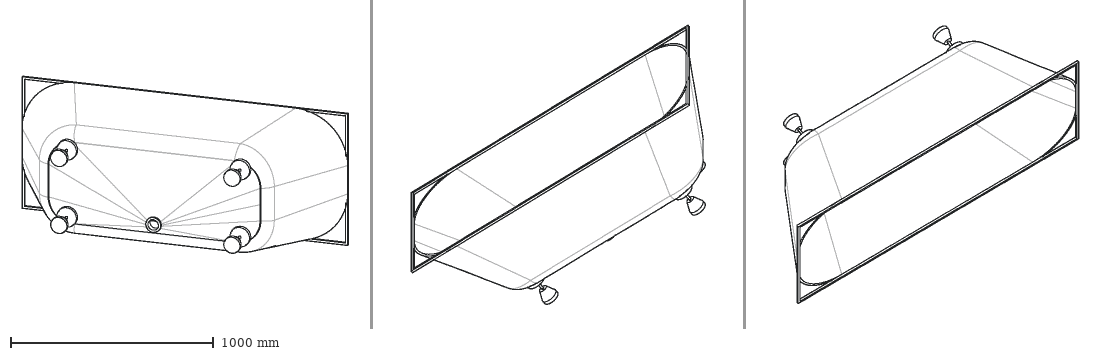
import cadquery as cq

LENGTH = 1693.0
WIDTH = 690.0
TOTAL_DEPTH = 630.0

FRAME_THICKNESS = 12.0
FRAME_BAR = 12.0

WALL = 12.0
FLOOR_DEPTH = 485.0
RIM_CORNER = 270.0
FLOOR_LENGTH = 1181.0
FLOOR_WIDTH = 552.0
FLOOR_CORNER = 186.0
FLOOR_FILLET = 71.0

FALL_LENGTH = 1107.0
FALL_WIDTH = 427.0
FALL_CORNER = 127.0
FALL_DEPTH = 10.0

DRAIN_Z = -165.0
DRAIN_RADIUS = 39.0
DRAIN_HOLE_RADIUS = 27.0
BOSS_DEPTH = 506.0

FOOT_X = 450.0
FOOT_Z = 176.0
PAD_RADIUS = 50.0
STEM_RADIUS = 6.0
FOOT_NECK_RADIUS = 21.2
FOOT_RADIUS = 42.0
FOOT_NECK_DEPTH = 560.0
FOOT_DISC_DEPTH = 611.0


def plane_at(depth):
    """Plane across the bath at a depth below the rim, facing -Y."""
    return cq.Plane(origin=(0, -depth, 0), xDir=(1, 0, 0), normal=(0, -1, 0))


def rounded_loft(depth_1, size_1, depth_2, size_2):
    """Solid between two rounded rectangles, each given as (length, width, corner)."""
    sketches = []
    for length, width, corner in (size_1, size_2):
        sketches.append(cq.Sketch().rect(length, width).vertices().fillet(corner))
    distance = depth_2 - depth_1
    far_sketch = sketches[1].moved(cq.Location(cq.Vector(0, 0, distance)))
    return cq.Workplane(plane_at(depth_1)).placeSketch(sketches[0], far_sketch).loft(ruled=True)


def cylinder(x, z, radius, start_depth, end_depth):
    return (
        cq.Workplane(plane_at(start_depth))
        .center(x, z)
        .circle(radius)
        .extrude(end_depth - start_depth)
    )


def make_frame():
    return (
        cq.Workplane(plane_at(0))
        .rect(LENGTH, WIDTH)
        .rect(LENGTH - 2 * FRAME_BAR, WIDTH - 2 * FRAME_BAR)
        .extrude(FRAME_THICKNESS)
    )


def make_basin(inset):
    """Tapered basin with a rounded floor edge, moved inward by the inset."""
    rim = (LENGTH - 2 * inset, WIDTH - 2 * inset, RIM_CORNER - inset)
    floor = (FLOOR_LENGTH - 2 * inset, FLOOR_WIDTH - 2 * inset, FLOOR_CORNER - inset)
    basin = rounded_loft(FRAME_THICKNESS, rim, FLOOR_DEPTH - inset, floor)
    return basin.faces("<Y").edges().fillet(FLOOR_FILLET - inset)


def make_floor_fall():
    sketch = cq.Sketch().rect(FALL_LENGTH, FALL_WIDTH).vertices().fillet(FALL_CORNER)
    drain_place = cq.Location(cq.Vector(0, DRAIN_Z, FALL_DEPTH))
    drain_sketch = cq.Sketch().circle(DRAIN_RADIUS).moved(drain_place)
    return cq.Workplane(plane_at(FLOOR_DEPTH)).placeSketch(sketch, drain_sketch).loft(ruled=True)


def make_foot(x, z):
    """Floor pad, threaded stem and flared foot."""
    pad = cylinder(x, z, PAD_RADIUS, FLOOR_DEPTH - WALL, BOSS_DEPTH)
    stem = cylinder(x, z, STEM_RADIUS, BOSS_DEPTH, FOOT_NECK_DEPTH)
    flare = (
        cq.Workplane(plane_at(FOOT_NECK_DEPTH))
        .center(x, z)
        .circle(FOOT_NECK_RADIUS)
        .workplane(offset=FOOT_DISC_DEPTH - FOOT_NECK_DEPTH)
        .circle(FOOT_RADIUS)
        .loft()
    )
    disc = cylinder(x, z, FOOT_RADIUS, FOOT_DISC_DEPTH, TOTAL_DEPTH)
    return pad.union(stem).union(flare).union(disc)


def make_tub():
    tub = make_basin(0).cut(make_basin(WALL)).union(make_floor_fall())
    tub = tub.union(cylinder(0, DRAIN_Z, DRAIN_RADIUS, FLOOR_DEPTH - WALL, BOSS_DEPTH))
    for x in (-FOOT_X, FOOT_X):
        for z in (-FOOT_Z, FOOT_Z):
            tub = tub.union(make_foot(x, z))
    drain_hole = cylinder(0, DRAIN_Z, DRAIN_HOLE_RADIUS, FRAME_THICKNESS, BOSS_DEPTH)
    return tub.cut(drain_hole)


frame = make_frame()
tub = make_tub()
result = cq.Compound.makeCompound([frame.val(), *tub.vals()])